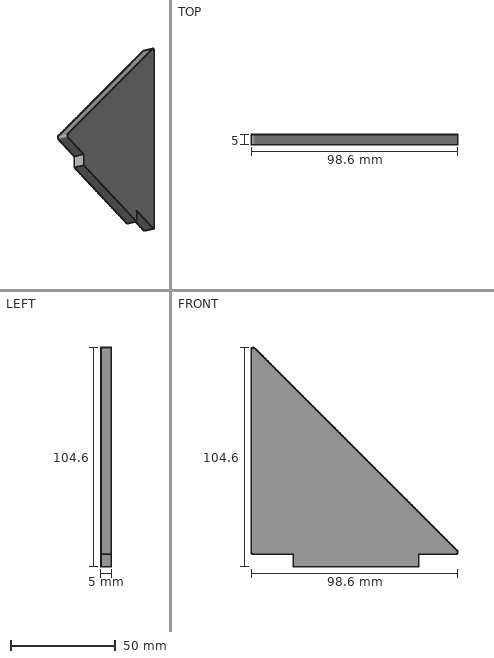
import cadquery as cq

leg_length = 100.0
thickness = 5.0
corner_radius = 1.0
tab_length = 60.0
tab_depth = 6.0

tab_start = (leg_length - tab_length) / 2


def triangle_plate():
    """Right-triangle plate standing in the XZ plane, right angle at the origin."""
    corners = [(0, 0), (leg_length, 0), (0, leg_length)]
    plate = cq.Workplane("XZ").polyline(corners).close().extrude(-thickness)
    return plate.edges("|Y").fillet(corner_radius)


def bottom_tab():
    """Square-cornered tab centred on the bottom leg, hanging below it."""
    return cq.Workplane("XY").box(tab_length, thickness, tab_depth, centered=False).translate(
        (tab_start, 0, -tab_depth)
    )


result = triangle_plate().union(bottom_tab())